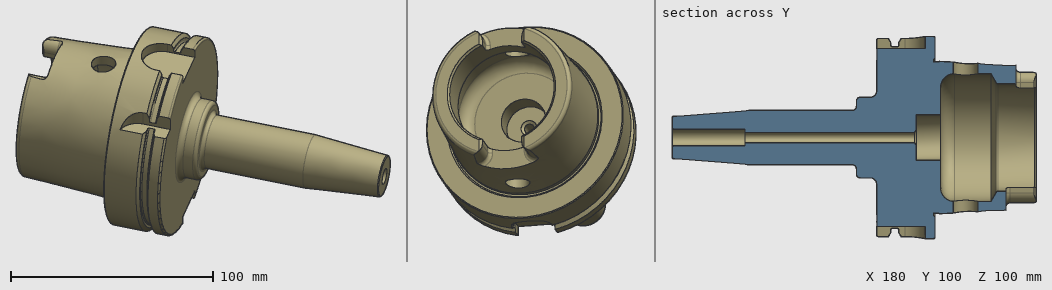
import cadquery as cq
import math


taper_length = 50.0
flange_width = 29.0
nose_x = 130.0

taper_base_radius = 75.42 / 2
taper_slope = 0.05
taper_base_x = -2.2
taper_end_radius = taper_base_radius - taper_slope * (taper_length + taper_base_x)
taper_end_round = 2.0
relief_depth = 0.25
relief_step_length = 0.8
face_groove_radius = 39.3
face_groove_depth = 0.8

flange_radius = 50.0
flange_back_chamfer = 0.5
flange_front_round = 1.0
groove_x = 20.0
groove_root_radius = 46.0
groove_root_half_width = 1.875
groove_root_round = 0.6
groove_rim_half_width = 3.1
groove_flank_angle = 30.0

collar_radius = 20.0
collar_end_x = 39.0
collar_base_round = 3.0
collar_end_round = 2.0
shank_base_round = 2.0
shank_radius = 13.5
nose_radius = 10.5
nose_half_angle = 4.5
nose_chamfer = 0.5

mouth_radius = 53.0 / 2
mouth_chamfer = 1.0
mouth_depth = 19.6
mouth_inner_round = 1.0
chamber_radius = 63.0 / 2
chamber_shoulder_angle = 30.0
chamber_floor_x = -2.7
chamber_floor_radius = 49.4 / 2

coolant_bore_radius = 22.38 / 2
coolant_bore_depth = 12.0
channel_radius = 4.92 / 2
channel_mouth_radius = 8.0 / 2
channel_cone_half_angle = 60.0
tool_bore_radius = 8.0 / 2
tool_bore_depth = 36.0

access_hole_radius = 12.0 / 2
access_hole_x = -15.0

drive_slot_half_width = 10.0
drive_slot_depth_top = 10.0
drive_slot_depth_bottom = 15.0
drive_slot_shoulder_z = 32.3
drive_slot_shoulder_round = 5.0
drive_slot_floor_round = 2.0
drive_slot_chamfer_length = 1.2
drive_slot_chamfer_width = 1.5

cutter_radius = 10.0
cutter_centre_x = 15.0
key_slot_floor_z = 44.0
notch_offset = 31.5


def tan_deg(angle):
    return math.tan(math.radians(angle))


def revolve_about_x(profile):
    return profile.close().revolve(360, (0, 0, 0), (1, 0, 0))


def add_arc(profile, centre, radius, mid_angle, end_angle):
    """Add an arc about centre to the profile, ending at end_angle (degrees)."""
    points = []
    for angle in (mid_angle, end_angle):
        a = math.radians(angle)
        points.append((centre[0] + radius * math.cos(a), centre[1] + radius * math.sin(a)))
    return profile.threePointArc(*points)


def taper_body():
    cone_start_x = -taper_length + taper_end_round
    profile = (
        cq.Workplane("XY")
        .moveTo(-taper_length, 0)
        .lineTo(-taper_length, taper_end_radius - taper_end_round)
    )
    profile = add_arc(
        profile, (cone_start_x, taper_end_radius - taper_end_round), taper_end_round, 135, 90
    )
    profile = (
        profile.lineTo(taper_base_x, taper_base_radius)
        .lineTo(taper_base_x + relief_step_length, taper_base_radius - relief_depth)
        .lineTo(face_groove_depth, taper_base_radius - relief_depth)
        .lineTo(face_groove_depth, 0)
    )
    return revolve_about_x(profile)


def flange_body():
    flank_end_radius = flange_radius - (
        groove_rim_half_width - groove_root_half_width
    ) / tan_deg(groove_flank_angle)
    root_round_radius = groove_root_radius + groove_root_round
    root_round_offset = groove_root_half_width - groove_root_round
    profile = (
        cq.Workplane("XY")
        .moveTo(face_groove_depth, 0)
        .lineTo(face_groove_depth, face_groove_radius - face_groove_depth)
        .lineTo(0, face_groove_radius)
        .lineTo(0, flange_radius - flange_back_chamfer)
        .lineTo(flange_back_chamfer, flange_radius)
        .lineTo(groove_x - groove_rim_half_width, flange_radius)
        .lineTo(groove_x - groove_root_half_width, flank_end_radius)
        .lineTo(groove_x - groove_root_half_width, root_round_radius)
    )
    profile = add_arc(
        profile, (groove_x - root_round_offset, root_round_radius), groove_root_round, 225, 270
    )
    profile = profile.lineTo(groove_x + root_round_offset, groove_root_radius)
    profile = add_arc(
        profile, (groove_x + root_round_offset, root_round_radius), groove_root_round, 315, 360
    )
    profile = (
        profile.lineTo(groove_x + groove_root_half_width, flank_end_radius)
        .lineTo(groove_x + groove_rim_half_width, flange_radius)
        .lineTo(flange_width - flange_front_round, flange_radius)
    )
    round_centre = (flange_width - flange_front_round, flange_radius - flange_front_round)
    profile = add_arc(profile, round_centre, flange_front_round, 45, 0)
    return revolve_about_x(profile.lineTo(flange_width, 0))


def key_slot_cutter(floor_z, centre_y):
    """Milled slot with a round end, open towards +X and +Z."""
    height = flange_radius - floor_z
    length = flange_width - cutter_centre_x
    straight = cq.Workplane("XY").box(
        length, 2 * cutter_radius, height, centered=(False, True, False)
    )
    round_end = cq.Workplane("XY").circle(cutter_radius).extrude(height)
    return straight.union(round_end).translate((cutter_centre_x, centre_y, floor_z))


def tool_end_body():
    cone_start_x = nose_x - (shank_radius - nose_radius) / tan_deg(nose_half_angle)
    chamfer_radius = nose_radius + nose_chamfer * tan_deg(nose_half_angle)
    profile = (
        cq.Workplane("XY")
        .moveTo(flange_width, 0)
        .lineTo(flange_width, collar_radius + collar_base_round)
    )
    profile = add_arc(
        profile,
        (flange_width + collar_base_round, collar_radius + collar_base_round),
        collar_base_round, 225, 270,
    )
    profile = profile.lineTo(collar_end_x - collar_end_round, collar_radius)
    profile = add_arc(
        profile,
        (collar_end_x - collar_end_round, collar_radius - collar_end_round),
        collar_end_round, 45, 0,
    )
    profile = profile.lineTo(collar_end_x, shank_radius + shank_base_round)
    profile = add_arc(
        profile,
        (collar_end_x + shank_base_round, shank_radius + shank_base_round),
        shank_base_round, 225, 270,
    )
    profile = (
        profile.lineTo(cone_start_x, shank_radius)
        .lineTo(nose_x - nose_chamfer, chamfer_radius)
        .lineTo(nose_x, chamfer_radius - nose_chamfer)
        .lineTo(nose_x, 0)
    )
    return revolve_about_x(profile)


def chamber_cutter():
    """Clamping chamber, coolant tube bore, coolant channel and tool bore."""
    shoulder_x = -taper_length + mouth_depth
    shoulder_end_x = shoulder_x + (chamber_radius - mouth_radius) * tan_deg(chamber_shoulder_angle)
    round_start_x = shoulder_x - mouth_inner_round * tan_deg((90 - chamber_shoulder_angle) / 2)
    floor_round = chamber_radius - chamber_floor_radius
    coolant_floor_x = chamber_floor_x + coolant_bore_depth
    cone_length = (channel_mouth_radius - channel_radius) / tan_deg(channel_cone_half_angle)
    cone_end_x = coolant_floor_x + cone_length
    profile = (
        cq.Workplane("XY")
        .moveTo(-taper_length, 0)
        .lineTo(-taper_length, mouth_radius + mouth_chamfer)
        .lineTo(-taper_length + mouth_chamfer, mouth_radius)
        .lineTo(round_start_x, mouth_radius)
    )
    profile = add_arc(
        profile,
        (round_start_x, mouth_radius + mouth_inner_round),
        mouth_inner_round,
        -(90 + chamber_shoulder_angle) / 2,
        -chamber_shoulder_angle,
    )
    profile = (
        profile.lineTo(shoulder_end_x, chamber_radius)
        .lineTo(chamber_floor_x - floor_round, chamber_radius)
    )
    profile = add_arc(
        profile, (chamber_floor_x - floor_round, chamber_floor_radius), floor_round, 45, 0
    )
    profile = (
        profile.lineTo(chamber_floor_x, coolant_bore_radius)
        .lineTo(coolant_floor_x, coolant_bore_radius)
        .lineTo(coolant_floor_x, channel_mouth_radius)
        .lineTo(cone_end_x, channel_radius)
        .lineTo(nose_x - tool_bore_depth, channel_radius)
        .lineTo(nose_x - tool_bore_depth, tool_bore_radius)
        .lineTo(nose_x, tool_bore_radius)
        .lineTo(nose_x, 0)
    )
    return revolve_about_x(profile)


def drive_slot_cutter(depth):
    """Slot across the taper wall at +Z, opening out over rounded shoulders."""
    half_width = drive_slot_half_width
    shoulder_round = drive_slot_shoulder_round
    round_z = drive_slot_shoulder_z - shoulder_round
    round_y = half_width + shoulder_round
    profile = cq.Workplane("YZ").moveTo(-half_width, 0).lineTo(half_width, 0).lineTo(half_width, round_z)
    profile = add_arc(profile, (round_y, round_z), shoulder_round, 135, 90)
    profile = (
        profile.lineTo(flange_radius, drive_slot_shoulder_z)
        .lineTo(flange_radius, flange_radius)
        .lineTo(-flange_radius, flange_radius)
        .lineTo(-flange_radius, drive_slot_shoulder_z)
        .lineTo(-round_y, drive_slot_shoulder_z)
    )
    profile = add_arc(profile, (-round_y, round_z), shoulder_round, 45, 0)
    slot = profile.close().extrude(depth)
    wall_and_shoulder_edges = cq.selectors.BoxSelector(
        (0, -taper_base_radius, round_z / 4),
        (2 * depth, taper_base_radius, taper_base_radius),
    )
    slot = slot.faces(">X").edges(wall_and_shoulder_edges).fillet(drive_slot_floor_round)
    mouth_half_width = half_width + drive_slot_chamfer_width
    mouth = (
        cq.Workplane("XY")
        .moveTo(0, -mouth_half_width)
        .lineTo(0, mouth_half_width)
        .lineTo(drive_slot_chamfer_length, half_width)
        .lineTo(drive_slot_chamfer_length, -half_width)
        .close()
        .extrude(flange_radius)
    )
    return slot.union(mouth).translate((-taper_length, 0, 0))


def flip_about_x(shape):
    return shape.rotate((0, 0, 0), (1, 0, 0), 180)


access_hole = (
    cq.Workplane("XY")
    .center(access_hole_x, 0)
    .circle(access_hole_radius)
    .extrude(flange_radius, both=True)
)
key_slot = key_slot_cutter(key_slot_floor_z, 0)
orientation_notch = key_slot_cutter(notch_offset, -notch_offset - cutter_radius)

result = taper_body().union(flange_body()).union(tool_end_body())
result = result.cut(chamber_cutter()).cut(access_hole)
result = result.cut(drive_slot_cutter(drive_slot_depth_top))
result = result.cut(flip_about_x(drive_slot_cutter(drive_slot_depth_bottom)))
result = result.cut(key_slot).cut(flip_about_x(key_slot)).cut(orientation_notch)